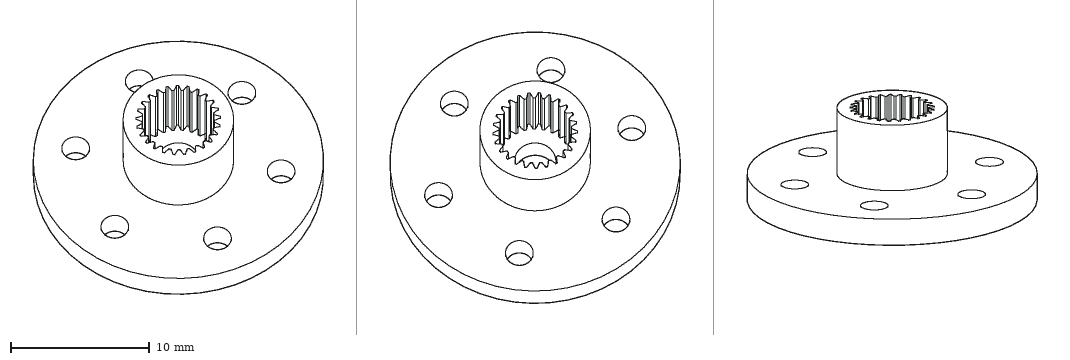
import cadquery as cq
import math

FLANGE_DIAMETER = 21.0
FLANGE_THICKNESS = 2.0
BOSS_DIAMETER = 8.0
TOTAL_HEIGHT = 7.0
BOSS_HEIGHT = TOTAL_HEIGHT - FLANGE_THICKNESS

SCREW_HOLE_DIAMETER = 3.0

MOUNT_HOLE_COUNT = 6
MOUNT_HOLE_DIAMETER = 2.0
MOUNT_CIRCLE_DIAMETER = 15.0
MOUNT_START_ANGLE = -0.6

SPLINE_COUNT = 25
SOCKET_DEPTH = BOSS_HEIGHT
SOCKET_BORE_RADIUS = 2.63
GROOVE_TIP_RADIUS = 3.06
GROOVE_MOUTH_WIDTH = 0.5
GROOVE_TIP_WIDTH = 0.14


def make_body():
    """Flange disc with the boss standing on its top face."""
    flange = cq.Workplane("XY").circle(FLANGE_DIAMETER / 2).extrude(FLANGE_THICKNESS)
    return flange.faces(">Z").workplane().circle(BOSS_DIAMETER / 2).extrude(BOSS_HEIGHT)


def polar_point(radius, angle):
    return (radius * math.cos(angle), radius * math.sin(angle))


def make_socket():
    """Solid that cuts the splined socket, with one groove centred on +X."""
    pitch_angle = 2 * math.pi / SPLINE_COUNT
    mouth_half_angle = math.asin(GROOVE_MOUTH_WIDTH / 2 / SOCKET_BORE_RADIUS)
    tip_half_angle = math.asin(GROOVE_TIP_WIDTH / 2 / GROOVE_TIP_RADIUS)

    outline = cq.Workplane("XY", origin=(0, 0, TOTAL_HEIGHT - SOCKET_DEPTH))
    outline = outline.moveTo(*polar_point(SOCKET_BORE_RADIUS, -mouth_half_angle))
    for index in range(SPLINE_COUNT):
        groove_angle = index * pitch_angle
        land_angle = groove_angle + pitch_angle / 2
        next_mouth_angle = groove_angle + pitch_angle - mouth_half_angle
        outline = (
            outline
            .lineTo(*polar_point(GROOVE_TIP_RADIUS, groove_angle - tip_half_angle))
            .lineTo(*polar_point(GROOVE_TIP_RADIUS, groove_angle + tip_half_angle))
            .lineTo(*polar_point(SOCKET_BORE_RADIUS, groove_angle + mouth_half_angle))
            .threePointArc(
                polar_point(SOCKET_BORE_RADIUS, land_angle),
                polar_point(SOCKET_BORE_RADIUS, next_mouth_angle),
            )
        )
    return outline.close().extrude(SOCKET_DEPTH)


def make_screw_hole():
    return cq.Workplane("XY").circle(SCREW_HOLE_DIAMETER / 2).extrude(TOTAL_HEIGHT)


def make_mount_holes():
    """Ring of equally spaced cylinders through the flange."""
    return (
        cq.Workplane("XY")
        .polarArray(MOUNT_CIRCLE_DIAMETER / 2, MOUNT_START_ANGLE, 360, MOUNT_HOLE_COUNT)
        .circle(MOUNT_HOLE_DIAMETER / 2)
        .extrude(FLANGE_THICKNESS)
    )


result = make_body().cut(make_socket()).cut(make_screw_hole()).cut(make_mount_holes())